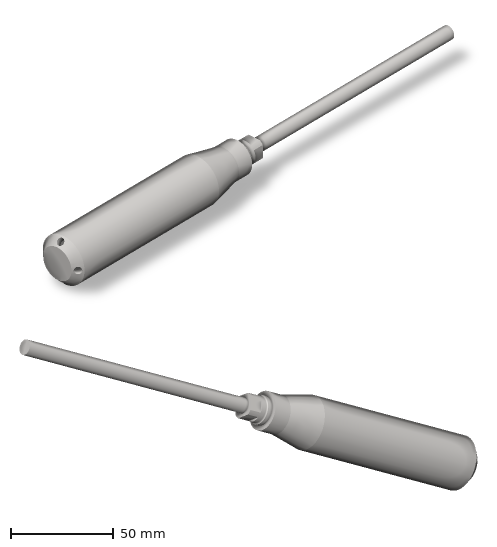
import cadquery as cq
import math

TOTAL_LENGTH = 281.5

RADIAL_PLANE = cq.Plane(origin=(0, 0, 0), xDir=(0, 0, 1), normal=(-1, 0, 0))

HOUSING_RADIUS = 28.0 / 2
END_CHAMFER = 4.5
BARREL_END = 101.3
NECK_RADIUS = 20.0 / 2
NECK_START = 120.0
NECK_END = 129.5

PIT_COUNT = 4
PIT_RADIUS = 2.1
PIT_DEPTH = 4.0

COLLAR_RADIUS = 15.0 / 2
COLLAR_END = 132.0
SLEEVE_RADIUS = 6.8
COLLAR_FILLET = COLLAR_RADIUS - SLEEVE_RADIUS
FLATS_START = 135.5
FLATS_WIDTH = 11.3
GLAND_END = 142.0

CABLE_RADIUS = 4.0


def revolve_profile(points):
    """Revolve a (Z, Y) outline, Z being the radius, about the Y axis."""
    outline = cq.Workplane(RADIAL_PLANE).polyline(points).close()
    return outline.revolve(360, (0, 0, 0), (0, 1, 0))


def make_end_pits():
    """Round pits sunk square to the 45 degree end chamfer, evenly spaced round the axis."""
    pit_radial_place = HOUSING_RADIUS - END_CHAMFER / 2
    pit_center = cq.Vector(pit_radial_place, END_CHAMFER / 2, 0)
    inward = cq.Vector(-math.sqrt(0.5), math.sqrt(0.5), 0)
    pit = cq.Solid.makeCylinder(
        PIT_RADIUS, 2 * PIT_DEPTH, pit_center - inward * PIT_DEPTH, inward
    )
    pits = cq.Workplane("XY")
    for index in range(PIT_COUNT):
        angle = index * 360 / PIT_COUNT
        pits = pits.add(pit.rotate(cq.Vector(0, 0, 0), cq.Vector(0, 1, 0), angle))
    return pits


def make_housing():
    """Barrel with a chamfered, pitted end and a taper down to a plain neck."""
    housing = revolve_profile([
        (0, 0),
        (HOUSING_RADIUS - END_CHAMFER, 0),
        (HOUSING_RADIUS, END_CHAMFER),
        (HOUSING_RADIUS, BARREL_END),
        (NECK_RADIUS, NECK_START),
        (NECK_RADIUS, NECK_END),
        (0, NECK_END),
    ])
    for pit in make_end_pits().vals():
        housing = housing.cut(cq.Workplane(pit))
    return housing


def make_gland():
    """Collar filleted into a sleeve, with four wrench flats milled on the outer end."""
    fillet_middle = COLLAR_FILLET * (1 - math.sqrt(0.5))
    profile = (
        cq.Workplane(RADIAL_PLANE)
        .moveTo(0, NECK_END)
        .lineTo(COLLAR_RADIUS, NECK_END)
        .lineTo(COLLAR_RADIUS, COLLAR_END)
        .threePointArc(
            (SLEEVE_RADIUS + fillet_middle, COLLAR_END + fillet_middle),
            (SLEEVE_RADIUS, COLLAR_END + COLLAR_FILLET),
        )
        .lineTo(SLEEVE_RADIUS, GLAND_END)
        .lineTo(0, GLAND_END)
        .close()
    )
    gland = profile.revolve(360, (0, 0, 0), (0, 1, 0))
    flats_length = GLAND_END - FLATS_START
    flats_middle = (0, FLATS_START + flats_length / 2, 0)
    blank_width = 2 * COLLAR_RADIUS
    blank = cq.Workplane("XY").box(blank_width, flats_length, blank_width)
    square = cq.Workplane("XY").box(FLATS_WIDTH, flats_length, FLATS_WIDTH)
    return gland.cut(blank.cut(square).translate(flats_middle))


def make_cable():
    """Plain round cable from the gland's end face to the far end."""
    return revolve_profile([
        (0, GLAND_END),
        (CABLE_RADIUS, GLAND_END),
        (CABLE_RADIUS, TOTAL_LENGTH),
        (0, TOTAL_LENGTH),
    ])


housing = make_housing()
gland = make_gland()
cable = make_cable()

result = cq.Compound.makeCompound([housing.val(), gland.val(), cable.val()])